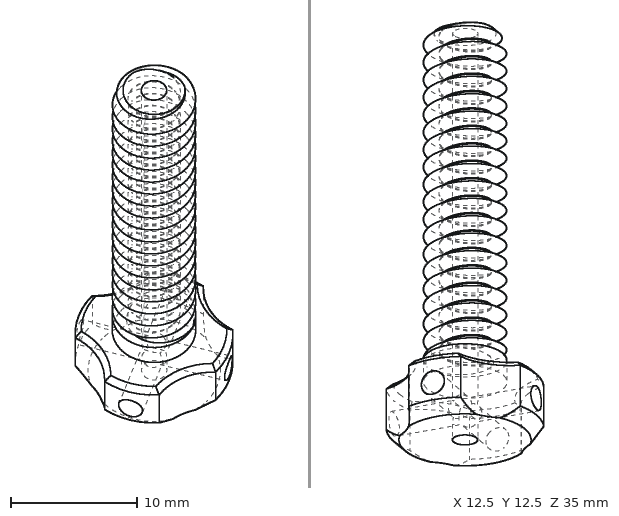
import cadquery as cq
import math

total_length = 35.0
bore_diameter = 2.0

head_diameter = 12.5
head_height = 5.0
scallop_count = 4
scallop_angle = 180 / scallop_count
scallop_radius = 5.0
scallop_floor_radius = 5.05
top_chamfer = 0.5
bottom_chamfer = 1.0

collar_diameter = 6.6
collar_height = 1.85

thread_pitch = 10.5 / 7
thread_half_angle = 30.0
crest_relief = 0.007
crest_radius = collar_diameter / 2 - crest_relief
root_width = 0.07
ridge_overlap = 0.018
ridge_stem = 0.35
thread_start = head_height + collar_height
thread_length = total_length - thread_start
crest_end_angle = -90.0
tip_radius = 2.45
trim_margin = 0.35


def make_head():
    """Scalloped knob, chamfered all round on top and conically underneath.

    Built with a scallop on +X, so that no seam of the round crosses a lobe, then turned.
    """
    head_radius = head_diameter / 2
    scallops = (
        cq.Workplane("XY")
        .polarArray(scallop_floor_radius + scallop_radius, 0, 360, scallop_count)
        .circle(scallop_radius)
        .extrude(head_height)
    )
    head = cq.Workplane("XY").circle(head_radius).extrude(head_height).cut(scallops)
    head = head.faces(">Z").edges().chamfer(top_chamfer)
    envelope = cq.Workplane("XY").circle(head_radius).extrude(head_height)
    head = head.intersect(envelope.faces("<Z").chamfer(bottom_chamfer))
    return head.rotate((0, 0, 0), (0, 0, 1), scallop_angle)


def make_collar():
    return (
        cq.Workplane("XY", origin=(0, 0, head_height))
        .circle(collar_diameter / 2)
        .extrude(collar_height)
    )


def make_thread():
    """V ridge swept up a helix around a hollow core, cut flat below and conically at the tip."""
    half_base = (thread_pitch - root_width) / 2
    ridge_foot_radius = crest_radius - half_base / math.tan(math.radians(thread_half_angle))

    ridge_turns = math.ceil(thread_length / thread_pitch) + 2
    ridge_start = total_length - (ridge_turns - 1) * thread_pitch
    one_turn = cq.Wire.makeHelix(thread_pitch, thread_pitch, crest_radius)
    turns = [one_turn.translate(cq.Vector(0, 0, turn * thread_pitch)) for turn in range(ridge_turns)]
    helix = cq.Wire.combine(turns)[0]
    ridge = (
        cq.Workplane("XZ")
        .moveTo(crest_radius, 0)
        .lineTo(ridge_foot_radius, half_base)
        .lineTo(ridge_foot_radius - ridge_stem, half_base)
        .lineTo(ridge_foot_radius - ridge_stem, -half_base)
        .lineTo(ridge_foot_radius, -half_base)
        .close()
        .sweep(cq.Workplane(obj=helix), isFrenet=True)
        .rotate((0, 0, 0), (0, 0, 1), crest_end_angle)
        .translate((0, 0, ridge_start))
    )

    trim_body = (
        cq.Workplane("XY", origin=(0, 0, thread_start))
        .circle(crest_radius + trim_margin)
        .extrude(thread_length)
        .faces(">Z")
        .chamfer(crest_radius + trim_margin - tip_radius)
    )

    core = (
        cq.Workplane("XY", origin=(0, 0, thread_start))
        .circle(ridge_foot_radius + ridge_overlap)
        .circle(bore_diameter / 2)
        .extrude(thread_length)
    )

    return ridge.intersect(trim_body).union(core)


def make_cross_hole(plane):
    """Hole right through the head, at mid height and square to the axis."""
    return (
        cq.Workplane(plane, origin=(0, 0, head_height / 2))
        .circle(bore_diameter / 2)
        .extrude(head_diameter, both=True)
    )


def make_bore():
    return cq.Workplane("XY").circle(bore_diameter / 2).extrude(total_length)


knob = make_head().union(make_collar()).cut(make_bore())
for hole_plane in ("XZ", "YZ"):
    knob = knob.cut(make_cross_hole(hole_plane))

result = knob.union(make_thread())